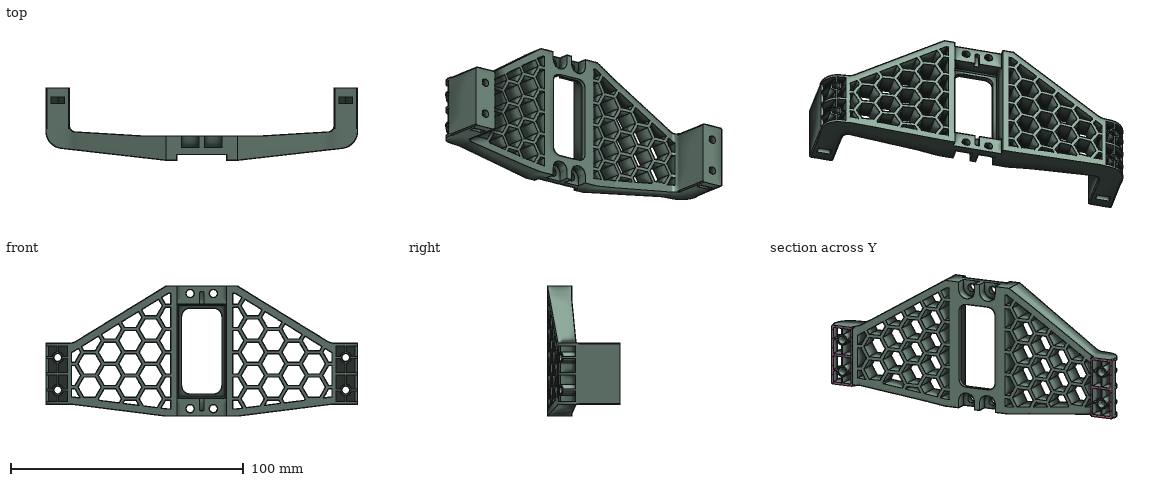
import cadquery as cq
import math

HALF_LENGTH = 67.0
HALF_HEIGHT = 28.0
DEPTH = 31.2

BLOCK_HALF_WIDTH = 15.3
BLOCK_BACK = 10.5
CHANNEL_HALF_WIDTH = 10.65
CHANNEL_DEPTH = 2.5

LEDGE_THICKNESS = 2.0
LEDGE_Y = BLOCK_BACK - LEDGE_THICKNESS
RECESS_HALF_HEIGHT = 20.3
RECESS_CORNER_RADIUS = 0.8
RECESS_FLOOR_CHAMFER = 0.6
WINDOW_HALF_WIDTH = 8.6
WINDOW_HALF_HEIGHT = 18.4
WINDOW_CORNER_RADIUS = 3.5

MOUNT_X = 5.0
MOUNT_Z = 24.75
MOUNT_HOLE_DIAMETER = 3.4
COUNTERBORE_DIAMETER = 7.5
COUNTERBORE_FLOOR_Y = 5.6
GROOVE_WIDTH = 2.1
GROOVE_END_Z = 25.7
GROOVE_DEPTH = 2.0

ARM_WIDTH = 10.2
ARM_INNER_X = HALF_LENGTH - ARM_WIDTH
ARM_HEIGHT = 26.4
ARM_CENTRE_Z = -9.75
ARM_TOP = ARM_CENTRE_Z + ARM_HEIGHT / 2
ARM_BOTTOM = ARM_CENTRE_Z - ARM_HEIGHT / 2
ARM_CORNER_Y = 5.9
ARM_CORNER_RADIUS = 7.5
ARM_EDGE_CHAMFER = 0.5
ARM_EDGE_START_Y = 13.8
ARM_SCREW_X = HALF_LENGTH - ARM_WIDTH / 2
ARM_SCREW_SPACING = 14.0
ARM_SCREW_DIAMETER = 3.3
ARM_BOSS_DIAMETER = 4.8

CAVITY_INNER_X = 57.8
CAVITY_FLOOR_Y = 22.0
ARM_SIDE_WALL = 1.1
ARM_END_WALL = 1.2
SIDE_WALL_END_Y = 12.0
MIDDLE_RIB = 1.2
THIN_RIB = 0.75

NUT_FLATS = 5.9
NUT_SLOT_START_Y = 24.5
NUT_SLOT_THICKNESS = 2.7

WING_BEND_X = 55.3
WING_BEND_RADIUS = 5.0
WING_BACK_AT_ARM = 12.4
BACK_BEND_X = 25.0
INNER_CORNER_RADIUS = 2.5
FRONT_BEND_RADIUS = 10.0
RIM_WIDTH = 3.2

GRID_INNER_X = 13.4
GRID_OUTER_X = 55.9
CELL_FLATS = 8.55
CELL_ROW_PITCH = 10.0
CELL_COLUMN_PITCH = 8.77
FIRST_COLUMN_X = 13.15
FIRST_COLUMN_Z = 4.5
COLUMN_COUNT = 6
ROW_RANGE = range(-4, 4)


def box(x_min, x_max, y_min, y_max, z_min, z_max):
    """Axis-aligned box between two corners."""
    return cq.Workplane("XY").box(
        x_max - x_min, y_max - y_min, z_max - z_min, centered=False
    ).translate((x_min, y_min, z_min))


def at_y(y):
    """Workplane facing +Y at the given Y, with local axes (-X, Z)."""
    return cq.Workplane("XZ", origin=(0, y, 0)).transformed(rotate=(0, 180, 0))


def along_y(x, z, diameter, y_min, y_max):
    """Cylinder along Y."""
    return at_y(y_min).center(-x, z).circle(diameter / 2).extrude(y_max - y_min)


def front_outline():
    """X-Z silhouette of the +X half, extruded over the full depth."""
    body = at_y(0).polyline([
        (0, -HALF_HEIGHT),
        (-BLOCK_HALF_WIDTH, -HALF_HEIGHT),
        (-WING_BEND_X, ARM_BOTTOM),
        (-HALF_LENGTH, ARM_BOTTOM),
        (-HALF_LENGTH, ARM_TOP),
        (-WING_BEND_X, ARM_TOP),
        (-BLOCK_HALF_WIDTH, HALF_HEIGHT),
        (0, HALF_HEIGHT),
    ]).close().extrude(DEPTH)
    margin = 1.0
    bends = cq.selectors.BoxSelector(
        (WING_BEND_X - margin, -margin, ARM_BOTTOM - margin),
        (WING_BEND_X + margin, DEPTH + margin, ARM_TOP + margin),
    )
    return body.edges("|Y").edges(bends).fillet(WING_BEND_RADIUS)


def plan_outline():
    """X-Y profile of the +X half, extruded over the full height."""
    body = cq.Workplane("XY").workplane(offset=-HALF_HEIGHT).polyline([
        (0, 0),
        (BLOCK_HALF_WIDTH, 0),
        (HALF_LENGTH, ARM_CORNER_Y),
        (HALF_LENGTH, DEPTH),
        (ARM_INNER_X, DEPTH),
        (ARM_INNER_X, WING_BACK_AT_ARM),
        (BACK_BEND_X, BLOCK_BACK),
        (0, BLOCK_BACK),
    ]).close().extrude(2 * HALF_HEIGHT)
    for x, y, radius in (
        (HALF_LENGTH, ARM_CORNER_Y, ARM_CORNER_RADIUS),
        (ARM_INNER_X, WING_BACK_AT_ARM, INNER_CORNER_RADIUS),
        (BLOCK_HALF_WIDTH, 0, FRONT_BEND_RADIUS),
    ):
        body = body.edges(cq.selectors.NearestToPointSelector((x, y, 0))).fillet(radius)
    return body


def rim_line(end_z, arm_z):
    """Grid corners along one sloping rim, from the outer side to the inner side."""
    side = math.copysign(1, end_z)
    slope = (end_z - arm_z) / (WING_BEND_X - BLOCK_HALF_WIDTH)
    drop = side * RIM_WIDTH * math.hypot(1, slope)
    outer_z = arm_z + slope * (WING_BEND_X - GRID_OUTER_X) - drop
    flat_z = end_z - side * RIM_WIDTH
    flat_x = GRID_OUTER_X - (flat_z - outer_z) / slope
    return [(GRID_OUTER_X, outer_z), (flat_x, flat_z), (GRID_INNER_X, flat_z)]


def honeycomb():
    """Hexagonal through cells, trimmed to the area inside the wing's rim."""
    corners = rim_line(HALF_HEIGHT, ARM_TOP) + rim_line(-HALF_HEIGHT, ARM_BOTTOM)[::-1]
    area = at_y(0).polyline([(-x, z) for x, z in corners]).close().extrude(DEPTH)
    centres = []
    for column in range(COLUMN_COUNT):
        x = FIRST_COLUMN_X + column * CELL_COLUMN_PITCH
        stagger = CELL_ROW_PITCH / 2 * (column % 2)
        for row in ROW_RANGE:
            centres.append((-x, FIRST_COLUMN_Z + stagger + row * CELL_ROW_PITCH))
    cell_diameter = CELL_FLATS / math.cos(math.pi / 6)
    cells = at_y(0).pushPoints(centres).polygon(6, cell_diameter).extrude(DEPTH)
    return cells.intersect(area)


def arm_screw_heights():
    return [ARM_CENTRE_Z + side * ARM_SCREW_SPACING / 2 for side in (-1, 1)]


def chamfer_arm_edges(body):
    """Chamfer the long edges of the arm behind its rounded corner."""
    for x, inward in ((HALF_LENGTH, -1), (ARM_INNER_X, 1)):
        for z, into_arm in ((ARM_TOP, -1), (ARM_BOTTOM, 1)):
            wedge = at_y(ARM_EDGE_START_Y).polyline([
                (-x, z),
                (-x - inward * ARM_EDGE_CHAMFER, z),
                (-x, z + into_arm * ARM_EDGE_CHAMFER),
            ]).close().extrude(DEPTH - ARM_EDGE_START_Y)
            body = body.cut(wedge)
    return body


def arm_cavity():
    """Hollow of the arm with its ribs and screw bosses left standing."""
    z_min = ARM_BOTTOM + ARM_END_WALL
    z_max = ARM_TOP - ARM_END_WALL
    wall_x = HALF_LENGTH - ARM_SIDE_WALL
    hollow = box(CAVITY_INNER_X, wall_x, 0, CAVITY_FLOOR_Y, z_min, z_max)
    hollow = hollow.union(box(wall_x, HALF_LENGTH, 0, SIDE_WALL_END_Y, z_min, z_max))

    def cross_rib(z, thickness):
        return box(0, HALF_LENGTH, 0, DEPTH, z - thickness / 2, z + thickness / 2)

    hollow = hollow.cut(cross_rib(ARM_CENTRE_Z, MIDDLE_RIB))
    half_rib = THIN_RIB / 2
    hollow = hollow.cut(box(ARM_SCREW_X - half_rib, ARM_SCREW_X + half_rib, 0, DEPTH, z_min, z_max))
    for z in arm_screw_heights():
        hollow = hollow.cut(cross_rib(z, THIN_RIB))
        hollow = hollow.cut(along_y(ARM_SCREW_X, z, ARM_BOSS_DIAMETER, 0, DEPTH))
    return hollow


def nut_slot(z, side):
    """Hexagonal nut seat on a screw axis, open to the arm's top (side 1) or bottom (side -1)."""
    nut_diameter = NUT_FLATS / math.cos(math.pi / 6)
    seat = at_y(NUT_SLOT_START_Y).center(-ARM_SCREW_X, z).transformed(rotate=(0, 0, 90))
    seat = seat.polygon(6, nut_diameter).extrude(NUT_SLOT_THICKNESS)
    end_z = ARM_CENTRE_Z + side * ARM_HEIGHT / 2
    entry = box(
        ARM_SCREW_X - NUT_FLATS / 2, ARM_SCREW_X + NUT_FLATS / 2,
        NUT_SLOT_START_Y, NUT_SLOT_START_Y + NUT_SLOT_THICKNESS,
        min(z, end_z), max(z, end_z),
    )
    return seat.union(entry)


def half_body():
    """The +X wing, arm and half of the centre block."""
    body = front_outline().intersect(plan_outline())
    body = body.cut(honeycomb())
    body = chamfer_arm_edges(body)
    body = body.cut(arm_cavity())
    for z, side in zip(arm_screw_heights(), (-1, 1)):
        body = body.cut(along_y(ARM_SCREW_X, z, ARM_SCREW_DIAMETER, 0, DEPTH))
        body = body.cut(nut_slot(z, side))
    return body


def window():
    """Front channel, stepped window recess and rounded opening."""
    channel = box(
        -CHANNEL_HALF_WIDTH, CHANNEL_HALF_WIDTH, 0, CHANNEL_DEPTH, -HALF_HEIGHT, HALF_HEIGHT
    )
    recess = box(
        -CHANNEL_HALF_WIDTH, CHANNEL_HALF_WIDTH, 0, LEDGE_Y, -RECESS_HALF_HEIGHT, RECESS_HALF_HEIGHT
    )
    recess = recess.edges("|Y").fillet(RECESS_CORNER_RADIUS)
    recess = recess.faces(">Y").edges().chamfer(RECESS_FLOOR_CHAMFER)
    opening = box(
        -WINDOW_HALF_WIDTH, WINDOW_HALF_WIDTH, 0, BLOCK_BACK, -WINDOW_HALF_HEIGHT, WINDOW_HALF_HEIGHT
    ).edges("|Y").fillet(WINDOW_CORNER_RADIUS)
    return channel.union(recess).union(opening)


def mount_cut(x, side):
    """Screw hole with a counterbore at the back that is open to the block's end."""
    z = side * MOUNT_Z
    end_z = side * HALF_HEIGHT
    radius = COUNTERBORE_DIAMETER / 2
    cut = along_y(x, z, MOUNT_HOLE_DIAMETER, 0, BLOCK_BACK)
    cut = cut.union(along_y(x, z, COUNTERBORE_DIAMETER, COUNTERBORE_FLOOR_Y, BLOCK_BACK))
    return cut.union(box(
        x - radius, x + radius, COUNTERBORE_FLOOR_Y, BLOCK_BACK, min(z, end_z), max(z, end_z)
    ))


def groove(side):
    """Round-ended groove in the channel floor, running into the window."""
    floor_y = CHANNEL_DEPTH + GROOVE_DEPTH
    end_centre = side * (GROOVE_END_Z - GROOVE_WIDTH / 2)
    straight = box(
        -GROOVE_WIDTH / 2, GROOVE_WIDTH / 2, 0, floor_y, min(0, end_centre), max(0, end_centre)
    )
    return straight.union(along_y(0, end_centre, GROOVE_WIDTH, 0, floor_y))


half = half_body()
result = half.union(half.mirror("YZ")).cut(window())
for side in (-1, 1):
    result = result.cut(groove(side))
    for x in (-MOUNT_X, MOUNT_X):
        result = result.cut(mount_cut(x, side))